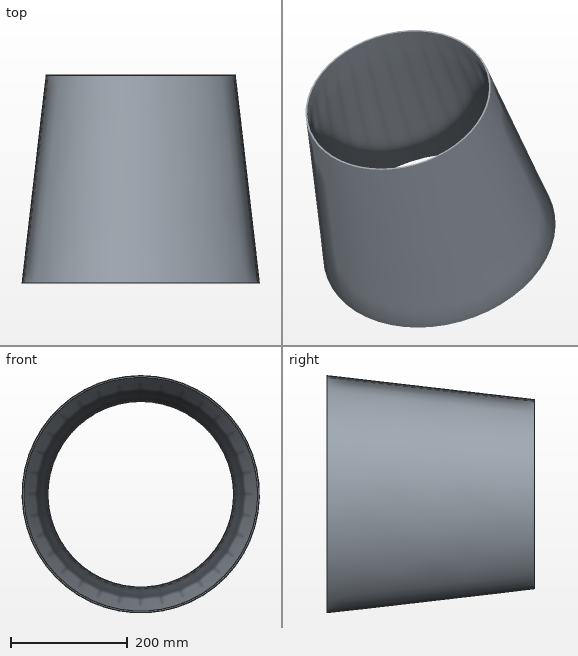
import cadquery as cq

large_diameter = 406.4
small_diameter = 323.9
length = 356.0
wall = 3.0


def cone_along_y(large_radius, small_radius):
    """Solid truncated cone on the Y axis, narrowing toward +Y."""
    base = cq.Vector(0, 0, 0)
    axis = cq.Vector(0, 1, 0)
    return cq.Workplane(cq.Solid.makeCone(large_radius, small_radius, length, base, axis))


large_radius = large_diameter / 2
small_radius = small_diameter / 2

outer_cone = cone_along_y(large_radius, small_radius)
bore = cone_along_y(large_radius - wall, small_radius - wall)

result = outer_cone.cut(bore)